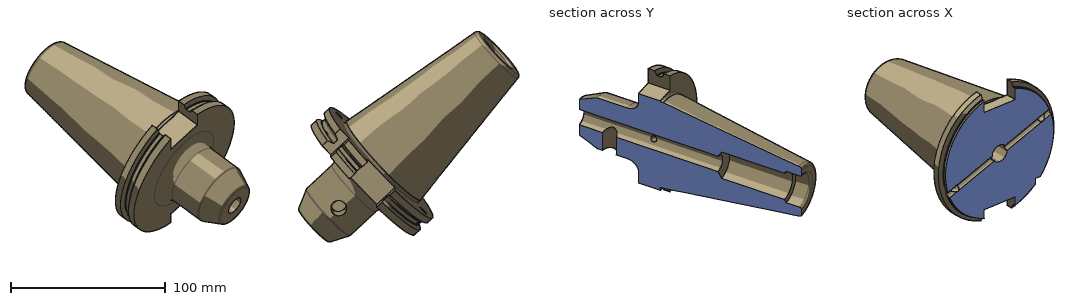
import cadquery as cq
import math

total_length = 164.8
gauge_x = 101.8
gauge_diameter = 69.9
taper_end = 102.3
taper_ratio = 7 / 24
small_end_fillet = 2.3

neck_start = 103.0
neck_diameter = 69.7
neck_root_fillet = 0.5

flange_start = 104.8
flange_end = 121.0
flange_diameter = 97.5

nose_diameter = 41.5
nose_root_fillet = 8.0
nose_cone_start = 151.7
nose_cone_angle = 25.0
nose_shoulder_fillet = 1.3
nose_tip_fillet = 1.3

groove_center = 112.7
groove_floor_diameter = 91.3
groove_floor_width = 3.5
groove_floor_fillet = 0.7
groove_flank_angle = 28.0

drive_slot_width = 25.7
upper_slot_height = 35.5
lower_slot_depth = 37.4
notch_y = 30.3
notch_z = -30.0

mouth_fillet = 1.6
pilot_diameter = 25.0
pilot_end = 11.5
bore_step_angle = 60.0
thread_diameter = 21.0
thread_end = 59.3
drill_point_angle = 59.0
tool_bore_diameter = 12.0

screw_diameter = 10.0
screw_x = 142.5
coolant_angle = 20.0
radial_hole_diameter = 4.1
feed_hole_diameter = 5.0
feed_hole_radius = 42.2
feed_hole_tilt = 30.0


def tan(degrees):
    return math.tan(math.radians(degrees))


def make_body():
    small_end_radius = (gauge_diameter - gauge_x * taper_ratio) / 2
    taper_end_radius = small_end_radius + taper_end * taper_ratio / 2
    neck_radius = neck_diameter / 2
    nose_radius = nose_diameter / 2
    tip_radius = nose_radius - (total_length - nose_cone_start) * tan(nose_cone_angle)
    profile = (
        cq.Workplane("XY")
        .lineTo(0, small_end_radius)
        .lineTo(taper_end, taper_end_radius)
        .lineTo(neck_start, neck_radius)
        .lineTo(flange_start - neck_root_fillet, neck_radius)
        .radiusArc((flange_start, neck_radius + neck_root_fillet), -neck_root_fillet)
        .lineTo(flange_start, flange_diameter / 2)
        .lineTo(flange_end, flange_diameter / 2)
        .lineTo(flange_end, nose_radius + nose_root_fillet)
        .radiusArc((flange_end + nose_root_fillet, nose_radius), -nose_root_fillet)
        .lineTo(nose_cone_start, nose_radius)
        .lineTo(total_length, tip_radius)
        .lineTo(total_length, 0)
        .close()
    )
    body = profile.revolve(360, (0, 0, 0), (1, 0, 0))
    shoulder = cq.selectors.BoxSelector(
        (nose_cone_start - nose_shoulder_fillet, -nose_diameter, -nose_diameter),
        (nose_cone_start + nose_shoulder_fillet, nose_diameter, nose_diameter),
    )
    body = body.edges(shoulder).fillet(nose_shoulder_fillet)
    body = body.faces("<X").edges().fillet(small_end_fillet)
    return body.faces(">X").edges().fillet(nose_tip_fillet)


def make_gripper_groove():
    floor_radius = groove_floor_diameter / 2
    rim_radius = flange_diameter / 2
    floor_half = groove_floor_width / 2
    rim_half = floor_half + (rim_radius - floor_radius) * tan(groove_flank_angle)
    ring = (
        cq.Workplane("XY")
        .moveTo(groove_center - floor_half, floor_radius)
        .lineTo(groove_center + floor_half, floor_radius)
        .lineTo(groove_center + rim_half, rim_radius)
        .lineTo(groove_center - rim_half, rim_radius)
        .close()
        .revolve(360, (0, 0, 0), (1, 0, 0))
    )
    floor = cq.selectors.RadiusNthSelector(0)
    return ring.edges("%CIRCLE").edges(floor).fillet(groove_floor_fillet)


def make_flange_cutouts():
    length = flange_end - flange_start
    reach = flange_diameter / 2
    block = cq.Workplane("XY").workplane(origin=(flange_start, 0, 0))
    low_corner = (False, True, False)
    upper_slot = block.box(length, drive_slot_width, reach, centered=low_corner)
    lower_slot = block.box(length, drive_slot_width, reach, centered=low_corner)
    notch = block.box(length, reach, reach, centered=False)
    return (
        upper_slot.translate((0, 0, upper_slot_height))
        .union(lower_slot.translate((0, 0, -lower_slot_depth - reach)))
        .union(notch.translate((0, notch_y, notch_z - reach)))
    )


def make_axial_bore():
    pilot_radius = pilot_diameter / 2
    thread_radius = thread_diameter / 2
    tool_radius = tool_bore_diameter / 2
    thread_start = pilot_end + (pilot_radius - thread_radius) / tan(bore_step_angle)
    point_end = thread_end + (thread_radius - tool_radius) / tan(drill_point_angle)
    return (
        cq.Workplane("XY")
        .lineTo(0, pilot_radius + mouth_fillet)
        .radiusArc((mouth_fillet, pilot_radius), -mouth_fillet)
        .lineTo(pilot_end, pilot_radius)
        .lineTo(thread_start, thread_radius)
        .lineTo(thread_end, thread_radius)
        .lineTo(point_end, tool_radius)
        .lineTo(total_length, tool_radius)
        .lineTo(total_length, 0)
        .close()
        .revolve(360, (0, 0, 0), (1, 0, 0))
    )


def make_rod(start, direction, diameter, length):
    return cq.Workplane(
        cq.Solid.makeCylinder(diameter / 2, length, cq.Vector(*start), cq.Vector(*direction))
    )


def make_coolant_pair():
    radial_hole = make_rod(
        (groove_center, 0, 0), (0, 1, 0), radial_hole_diameter, flange_diameter / 2
    )
    feed_depth = groove_center - flange_start
    feed_shift = feed_depth * tan(feed_hole_tilt)
    feed_start = (flange_start - feed_depth, feed_hole_radius + feed_shift, 0)
    feed_direction = (feed_depth, -feed_shift, 0)
    feed_length = 2 * math.hypot(feed_depth, feed_shift)
    feed_hole = make_rod(feed_start, feed_direction, feed_hole_diameter, feed_length)
    return radial_hole.union(feed_hole)


screw_hole = make_rod((screw_x, 0, 0), (0, 0, -1), screw_diameter, nose_diameter / 2)

result = make_body()
result = result.cut(make_gripper_groove())
result = result.cut(make_flange_cutouts())
result = result.cut(make_axial_bore())
result = result.cut(screw_hole)
for side_angle in (0, 180):
    coolant_pair = make_coolant_pair()
    result = result.cut(coolant_pair.rotate((0, 0, 0), (1, 0, 0), coolant_angle + side_angle))